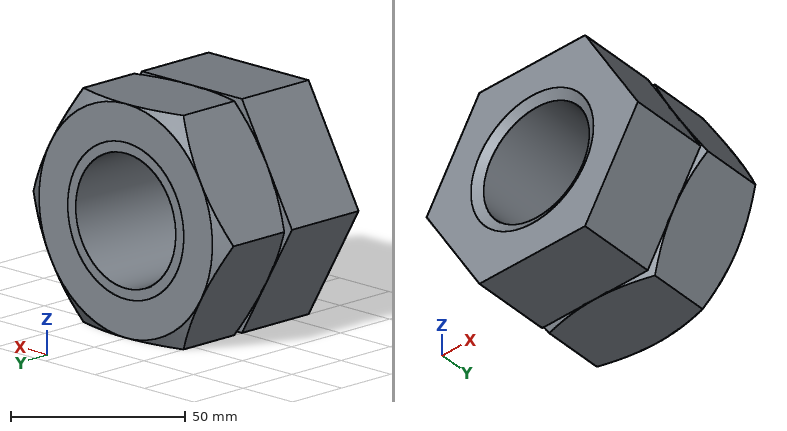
import cadquery as cq
import math

across_corners = 80.8
across_flats = across_corners * math.cos(math.radians(30))

overall_length = 54.2
nut_length = 27.0
head_length = overall_length - nut_length

joint_y = 0.0
head_end_y = joint_y - head_length
nut_end_y = joint_y + nut_length

bore_diameter = 40.4
countersink_diameter = 46.9
countersink_angle = 30.0

sleeve_diameter = countersink_diameter
corner_chamfer_angle = 30.0


def cone_depth(large_diameter, small_diameter, angle):
    """Axial depth of a cone whose wall makes the given angle with the end face."""
    return (large_diameter - small_diameter) / 2 * math.tan(math.radians(angle))


def revolve_about_y(points):
    """Solid of revolution about Y from (radius, y) points."""
    return cq.Workplane("XY").polyline(points).close().revolve(360, (0, 0), (0, 1))


def hexagon_prism(start_y, length):
    """Hexagonal bar running from start_y toward +Y."""
    return (
        cq.Workplane("XZ", origin=(0, start_y, 0))
        .polygon(6, across_corners)
        .extrude(-length)
    )


def cylinder(diameter, start_y, length):
    """Round bar running from start_y toward +Y."""
    return (
        cq.Workplane("XZ", origin=(0, start_y, 0))
        .circle(diameter / 2)
        .extrude(-length)
    )


def countersink():
    """Conical cutter for the mouth of the bore in the head."""
    depth = cone_depth(countersink_diameter, bore_diameter, countersink_angle)
    return revolve_about_y([
        (0, head_end_y),
        (countersink_diameter / 2, head_end_y),
        (bore_diameter / 2, head_end_y + depth),
        (0, head_end_y + depth),
    ])


def corner_chamfer_envelope():
    """Double-coned disc that trims the nut corners; its end circles touch the flats."""
    corner_radius = across_corners / 2
    face_radius = across_flats / 2
    depth = cone_depth(across_corners, across_flats, corner_chamfer_angle)
    return revolve_about_y([
        (0, joint_y),
        (face_radius, joint_y),
        (corner_radius, joint_y + depth),
        (corner_radius, nut_end_y - depth),
        (face_radius, nut_end_y),
        (0, nut_end_y),
    ])


def make_hex_sleeve():
    """Sharp-edged hexagonal head with a sleeve that carries the bore through the nut."""
    head = hexagon_prism(head_end_y, head_length)
    sleeve = cylinder(sleeve_diameter, joint_y, nut_length)
    bore = cylinder(bore_diameter, head_end_y, overall_length)
    return head.union(sleeve).cut(bore).cut(countersink())


def make_nut():
    """Nut around the sleeve, with its corners chamfered at both ends."""
    return (
        hexagon_prism(joint_y, nut_length)
        .intersect(corner_chamfer_envelope())
        .cut(cylinder(sleeve_diameter, joint_y, nut_length))
    )


hex_sleeve = make_hex_sleeve()
nut = make_nut()

result = cq.Compound.makeCompound([hex_sleeve.val(), nut.val()])